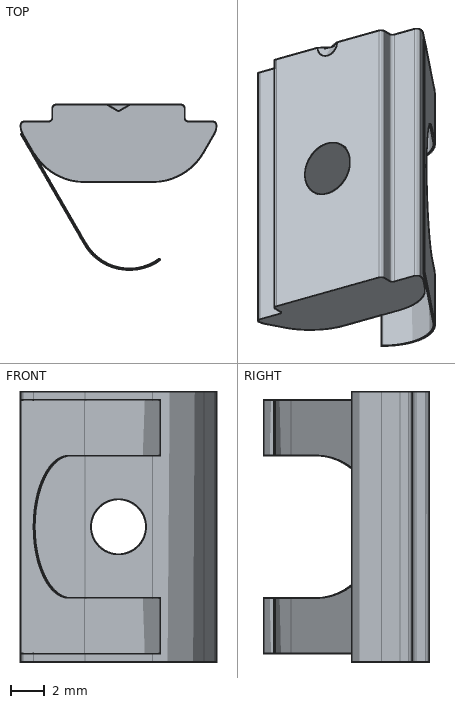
import cadquery as cq
import math


LENGTH = 16.0
BODY_WIDTH = 11.6
BODY_DEPTH = 4.6
NECK_WIDTH = 7.85
NECK_HEIGHT = 1.0
NOSE_WIDTH = 4.0
NOSE_RADIUS = 3.5
FLANK_ANGLE = 60.0
FLANK_TOP_RADIUS = 1.0
SHOULDER_RADIUS = 0.25
NECK_CORNER_RADIUS = 0.25
NECK_ROOT_RADIUS = 0.2

HOLE_DIAMETER = 3.242

MARK_RADIUS = 0.7
MARK_TIP_ANGLE = 120.0

SPRING_THICKNESS = 0.1
SPRING_WIDTH = 15.0
SPRING_DEPTH = 9.8
SPRING_BEND_RADIUS = 3.08
SPRING_TIP_ANGLE = 36.5
WINDOW_WIDTH = 8.42
WINDOW_OFFSET = 1.5

flank = math.radians(FLANK_ANGLE)
flank_x, flank_y = math.cos(flank), -math.sin(flank)
normal_x, normal_y = -math.sin(flank), -math.cos(flank)

nose_corner_x = -NOSE_WIDTH / 2 - NOSE_RADIUS * math.tan(flank / 2)
side_corner_y = -BODY_DEPTH + (BODY_WIDTH / 2 + nose_corner_x) * math.tan(flank)
flank_top_length = FLANK_TOP_RADIUS * math.tan((math.pi / 2 - flank) / 2)
flank_top_x = -BODY_WIDTH / 2 + flank_top_length * flank_x
flank_top_y = side_corner_y + flank_top_length * flank_y


def make_body():
    """Extruded nut section with its lengthwise edges rounded."""
    half_neck = NECK_WIDTH / 2
    half_body = BODY_WIDTH / 2
    right_side = [
        (half_neck, 0),
        (half_neck, -NECK_HEIGHT),
        (half_body, -NECK_HEIGHT),
        (half_body, side_corner_y),
        (-nose_corner_x, -BODY_DEPTH),
    ]
    left_side = [(-x, y) for x, y in reversed(right_side)]
    body = (
        cq.Workplane("XY")
        .polyline(right_side + left_side)
        .close()
        .extrude(LENGTH / 2, both=True)
    )
    radii = [
        NECK_CORNER_RADIUS,
        NECK_ROOT_RADIUS,
        SHOULDER_RADIUS,
        FLANK_TOP_RADIUS,
        NOSE_RADIUS,
    ]
    for (x, y), radius in zip(right_side, radii):
        for edge_x in (x, -x):
            corner = cq.selectors.NearestToPointSelector((edge_x, y, 0))
            body = body.edges("|Z").edges(corner).fillet(radius)
    return body


def make_hole():
    """Hole along Y through the middle of the nut."""
    return cq.Workplane("XZ").circle(HOLE_DIAMETER / 2).extrude(BODY_DEPTH)


def make_mark():
    """Half cone sunk into the neck face, its axis in the plane of the top end."""
    mark_depth = MARK_RADIUS / math.tan(math.radians(MARK_TIP_ANGLE / 2))
    return (
        cq.Workplane("XY", origin=(0, 0, LENGTH / 2))
        .polyline([(0, 0), (MARK_RADIUS, 0), (0, -mark_depth)])
        .close()
        .revolve(180, (0, 0), (0, 1))
    )


def make_spring():
    """Bent strip lying on the flank, with a round-ended window open at its tip."""
    end_shift = SPRING_THICKNESS * normal_y / flank_y
    start_x = flank_top_x - end_shift * flank_x
    start_y = flank_top_y - end_shift * flank_y
    outer_start = (
        start_x + SPRING_THICKNESS * normal_x,
        start_y + SPRING_THICKNESS * normal_y,
    )

    center_y = SPRING_BEND_RADIUS - SPRING_DEPTH
    bend_start_y = center_y + SPRING_BEND_RADIUS * normal_y
    straight_length = (bend_start_y - outer_start[1]) / flank_y
    center_x = outer_start[0] + straight_length * flank_x - SPRING_BEND_RADIUS * normal_x

    def bend_point(radius, angle):
        """Point on the bend; the angle is measured from its lowest line."""
        return (
            center_x + radius * math.sin(math.radians(angle)),
            center_y - radius * math.cos(math.radians(angle)),
        )

    inner_radius = SPRING_BEND_RADIUS - SPRING_THICKNESS
    strip = (
        cq.Workplane("XY")
        .moveTo(*outer_start)
        .lineTo(*bend_point(SPRING_BEND_RADIUS, -FLANK_ANGLE))
        .threePointArc(
            bend_point(SPRING_BEND_RADIUS, 0),
            bend_point(SPRING_BEND_RADIUS, SPRING_TIP_ANGLE),
        )
        .lineTo(*bend_point(inner_radius, SPRING_TIP_ANGLE))
        .threePointArc(
            bend_point(inner_radius, 0),
            bend_point(inner_radius, -FLANK_ANGLE),
        )
        .lineTo(start_x, start_y)
        .close()
        .extrude(SPRING_WIDTH / 2, both=True)
    )

    flank_plane = cq.Plane(
        origin=(start_x, start_y, 0),
        xDir=(flank_x, flank_y, 0),
        normal=(normal_x, normal_y, 0),
    )
    window_radius = WINDOW_WIDTH / 2
    round_center = WINDOW_OFFSET + window_radius
    window_end = SPRING_DEPTH + SPRING_BEND_RADIUS
    window = (
        cq.Workplane(flank_plane)
        .moveTo(round_center, -window_radius)
        .lineTo(window_end, -window_radius)
        .lineTo(window_end, window_radius)
        .lineTo(round_center, window_radius)
        .threePointArc((WINDOW_OFFSET, 0), (round_center, -window_radius))
        .close()
        .extrude(SPRING_DEPTH, both=True)
    )
    return strip.cut(window)


result = make_body().cut(make_hole()).cut(make_mark()).union(make_spring())